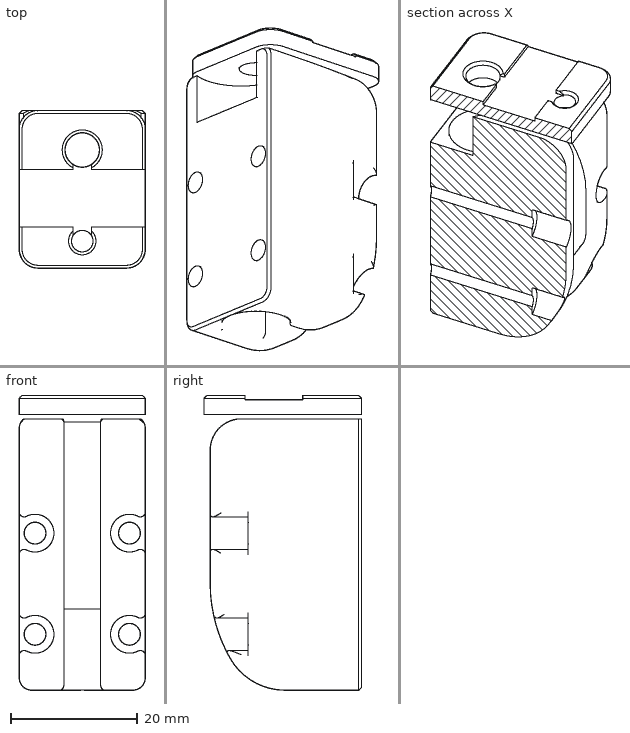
import cadquery as cq
import math


width = 20.0
total_height = 46.7
edge_break = 0.45
bore_axis_y = -6.25
overcut = 2.35
pick_margin = 0.25

cap_depth = 25.0
cap_thickness = 3.05
cap_corner_radius = 3.0
rear_hole_diameter = 5.4
front_hole_diameter = 3.4
front_hole_y = -20.7
groove_depth = 0.65
groove_back_y = -9.35
groove_front_y = -18.45
link_width = 2.9

housing_depth = 24.0
housing_top = 42.95
crown_top = 43.5
crown_radius = 396.95
brow_radius = 5.0
belly_radius = 24.0
toe_radius = 10.0
toe_angle = 30.0
outer_round = 2.0

channel_width = 5.85
channel_round = 0.8
floor_front_y = -22.98
floor_nose_top = 26.75
floor_nose_bottom = 17.85
floor_arc_radius = 17.0
floor_lip_radius = 5.0
floor_crest_radius = 7.55
floor_crest_top = 42.5
floor_ramp_angle = 45.0

bore_radius = 5.4
bore_mouth_round = 0.5
recess_radius = 7.65
recess_axis_y = -3.0
recess_bottom = 35.02

screw_hole_diameter = 3.4
screw_x = 7.45
screw_heights = (8.85, 24.9)
screw_seat_y = -18.0
screw_seat_radius = 3.0
screw_seat_flare = 0.8


def on_circle(center_y, center_z, radius, angle):
    """Point in the YZ plane, with the angle in degrees measured from +Y towards +Z."""
    turn = math.radians(angle)
    return (center_y + radius * math.cos(turn), center_z + radius * math.sin(turn))


def extrude_across(outline, across):
    """Extrude a YZ outline symmetrically about X = 0."""
    return outline.close().extrude(across / 2, both=True)


def make_cap():
    cap = (
        cq.Workplane("XY", origin=(0, -cap_depth / 2, total_height - cap_thickness))
        .rect(width, cap_depth)
        .extrude(cap_thickness)
        .edges("|Z").fillet(cap_corner_radius)
        .faces(">Z").edges().chamfer(edge_break)
    )
    for hole_y, diameter in ((bore_axis_y, rear_hole_diameter), (front_hole_y, front_hole_diameter)):
        hole = (
            cq.Workplane("XY", origin=(0, hole_y, total_height))
            .circle(diameter / 2)
            .extrude(-cap_thickness)
            .faces(">Z")
            .workplane()
            .circle(diameter / 2 + edge_break)
            .workplane(offset=-edge_break)
            .circle(diameter / 2)
            .loft(combine=True)
        )
        cap = cap.cut(hole)

    groove_floor = total_height - groove_depth
    groove = cq.Workplane("XY").box(
        width, groove_back_y - groove_front_y, groove_depth, centered=(True, False, False)
    ).translate((0, groove_front_y, groove_floor))
    link = cq.Workplane("XY").box(
        link_width, bore_axis_y - front_hole_y, groove_depth, centered=(True, False, False)
    ).translate((0, front_hole_y, groove_floor))
    return cap.cut(groove).cut(link)


def make_shell():
    """Outer form of the housing, rounded along the flanks, with its crown still untrimmed."""
    belly_y = belly_radius - housing_depth
    joint_angle = 180 + toe_angle
    toe_y = on_circle(belly_y, 0, belly_radius - toe_radius, joint_angle)[0]
    belly_z = toe_radius + (belly_radius - toe_radius) * math.sin(math.radians(toe_angle))

    crown_z = crown_top - crown_radius
    brow_y = brow_radius - housing_depth
    crown_span = math.degrees(math.asin(-brow_y / (crown_radius - brow_radius)))
    brow_z = crown_z + math.sqrt((crown_radius - brow_radius) ** 2 - brow_y**2)

    outline = (
        cq.Workplane("YZ")
        .moveTo(0, 0)
        .lineTo(0, crown_top)
        .threePointArc(
            on_circle(0, crown_z, crown_radius, 90 + crown_span / 2),
            on_circle(0, crown_z, crown_radius, 90 + crown_span),
        )
        .threePointArc(on_circle(brow_y, brow_z, brow_radius, 135), (-housing_depth, brow_z))
        .lineTo(-housing_depth, belly_z)
        .threePointArc(
            on_circle(belly_y, belly_z, belly_radius, 180 + toe_angle / 2),
            on_circle(belly_y, belly_z, belly_radius, joint_angle),
        )
        .threePointArc(on_circle(toe_y, toe_radius, toe_radius, (joint_angle + 270) / 2), (toe_y, 0))
    )
    shell = extrude_across(outline, width)
    back_edges = cq.selectors.BoxSelector(
        (-width, -pick_margin, -overcut), (width, pick_margin, total_height)
    )
    return (
        shell.faces("<X or >X").edges(cq.selectors.InverseSelector(back_edges))
        .fillet(outer_round)
        .faces(">Y").edges().chamfer(edge_break)
    )


def cut_channel(shell):
    """Open the channel from the front through to the bore axis and round its outer edges."""
    front_y = -housing_depth - overcut
    channel = cq.Workplane("XY").box(
        channel_width, bore_axis_y - front_y, total_height + 2 * overcut, centered=(True, False, False)
    ).translate((0, front_y, -overcut))
    channel_edges = cq.selectors.BoxSelector(
        (-channel_width / 2 - pick_margin, front_y, -overcut),
        (channel_width / 2 + pick_margin, bore_axis_y - pick_margin, total_height),
    )
    return shell.cut(channel).edges(channel_edges).fillet(channel_round)


def make_floor():
    """Curved floor that fills the middle of the channel and carries the cord."""
    ramp = math.radians(floor_ramp_angle)
    arc_y = floor_front_y + floor_arc_radius
    ramp_start = on_circle(arc_y, floor_nose_top, floor_arc_radius, 180 - floor_ramp_angle)
    crest_z = floor_crest_top - floor_crest_radius
    ramp_end_z = crest_z + floor_crest_radius * math.cos(ramp)
    ramp_end_y = ramp_start[0] + (ramp_end_z - ramp_start[1]) / math.tan(ramp)
    crest_y = ramp_end_y + floor_crest_radius * math.sin(ramp)
    lip_y = floor_front_y + floor_lip_radius
    underside = floor_nose_bottom - floor_lip_radius
    outline = (
        cq.Workplane("YZ")
        .moveTo(bore_axis_y, underside)
        .lineTo(lip_y, underside)
        .threePointArc(
            on_circle(lip_y, floor_nose_bottom, floor_lip_radius, 225),
            (floor_front_y, floor_nose_bottom),
        )
        .lineTo(floor_front_y, floor_nose_top)
        .threePointArc(
            on_circle(arc_y, floor_nose_top, floor_arc_radius, 180 - floor_ramp_angle / 2), ramp_start
        )
        .lineTo(ramp_end_y, ramp_end_z)
        .threePointArc(
            on_circle(crest_y, crest_z, floor_crest_radius, 90 + floor_ramp_angle / 2),
            (crest_y, floor_crest_top),
        )
        .lineTo(bore_axis_y, floor_crest_top)
    )
    return extrude_across(outline, channel_width)


def make_bore():
    """Upright bore with a rounded mouth at the foot, running up into the recess."""
    mouth_radius = bore_radius + bore_mouth_round
    bore = (
        cq.Workplane("XZ", origin=(0, bore_axis_y, 0))
        .moveTo(0, -overcut)
        .lineTo(mouth_radius, -overcut)
        .lineTo(mouth_radius, 0)
        .threePointArc(
            on_circle(mouth_radius, bore_mouth_round, bore_mouth_round, 225),
            (bore_radius, bore_mouth_round),
        )
        .lineTo(bore_radius, recess_bottom + overcut)
        .lineTo(0, recess_bottom + overcut)
        .close()
    )
    return bore.revolve(360, (0, 0), (0, 1))


def make_recess():
    """Round recess, open at the top and through the back."""
    return (
        cq.Workplane("XY", origin=(0, recess_axis_y, recess_bottom))
        .circle(recess_radius)
        .extrude(total_height - recess_bottom)
    )


def make_screw_holes():
    """Screw holes with round seats that open through the flanks with flared lips."""
    reach = width / 2 - screw_x
    flare_x = reach - screw_seat_flare
    flare_distance = screw_seat_radius + screw_seat_flare
    lip_height = math.sqrt(flare_distance**2 - flare_x**2)
    share = screw_seat_radius / flare_distance
    touch = (flare_x * share, lip_height * share)
    middle_angle = math.atan2(-lip_height, -flare_x) / 2
    middle = (
        flare_x + screw_seat_flare * math.cos(middle_angle),
        lip_height + screw_seat_flare * math.sin(middle_angle),
    )
    holes = cq.Workplane("XY")
    for height in screw_heights:
        seat = (
            cq.Workplane("XZ", origin=(screw_x, screw_seat_y, height))
            .moveTo(reach + overcut, lip_height)
            .lineTo(reach, lip_height)
            .threePointArc(middle, touch)
            .threePointArc((-screw_seat_radius, 0), (touch[0], -touch[1]))
            .threePointArc((middle[0], -middle[1]), (reach, -lip_height))
            .lineTo(reach + overcut, -lip_height)
            .close()
            .extrude(housing_depth)
        )
        shank = (
            cq.Workplane("XZ", origin=(screw_x, 0, height))
            .circle(screw_hole_diameter / 2)
            .extrude(housing_depth)
        )
        screw_hole = seat.union(shank)
        holes = holes.union(screw_hole).union(screw_hole.mirror("YZ"))
    return holes


def make_housing():
    crown_cut = (
        cq.Workplane("XY", origin=(0, -housing_depth / 2, housing_top))
        .rect(width + 2 * overcut, housing_depth + 2 * overcut)
        .extrude(overcut)
    )
    body = cut_channel(make_shell()).union(make_floor()).cut(crown_cut)
    return body.cut(make_bore()).cut(make_recess()).cut(make_screw_holes())


cap = make_cap()
housing = make_housing()

result = cq.Compound.makeCompound([cap.val(), housing.val()])